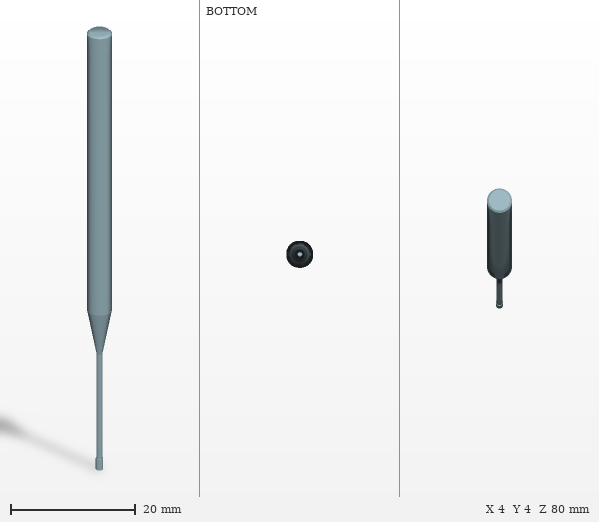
import cadquery as cq

TOTAL_LENGTH = 80.0
CUTTER_LENGTH = 2.0
NECK_TOP = 21.1
CONE_TOP = 29.1

SHANK_DIAMETER = 4.0
NECK_DIAMETER = 1.0
CUTTER_DIAMETER = 1.2

SHANK_CHAMFER = 0.3

TIP_Z = -TOTAL_LENGTH


def revolve_profile(points):
    """Turn a closed (radius, z) outline about the Z axis."""
    return cq.Workplane("XZ").polyline(points).close().revolve(360, (0, 0, 0), (0, 1, 0))


def make_shank():
    """Shank with a chamfered top end, tapering to a slender neck."""
    shank_radius = SHANK_DIAMETER / 2
    neck_radius = NECK_DIAMETER / 2
    cutter_top_z = TIP_Z + CUTTER_LENGTH
    neck_top_z = TIP_Z + NECK_TOP
    cone_top_z = TIP_Z + CONE_TOP
    return revolve_profile([
        (0, cutter_top_z),
        (neck_radius, cutter_top_z),
        (neck_radius, neck_top_z),
        (shank_radius, cone_top_z),
        (shank_radius, -SHANK_CHAMFER),
        (shank_radius - SHANK_CHAMFER, 0),
        (0, 0),
    ])


def make_cutter():
    """Cylindrical cutting head at the lower end of the neck."""
    return cq.Workplane("XY").workplane(offset=TIP_Z).circle(CUTTER_DIAMETER / 2).extrude(CUTTER_LENGTH)


shank = make_shank()
cutter = make_cutter()

result = cq.Compound.makeCompound([shank.val(), cutter.val()])